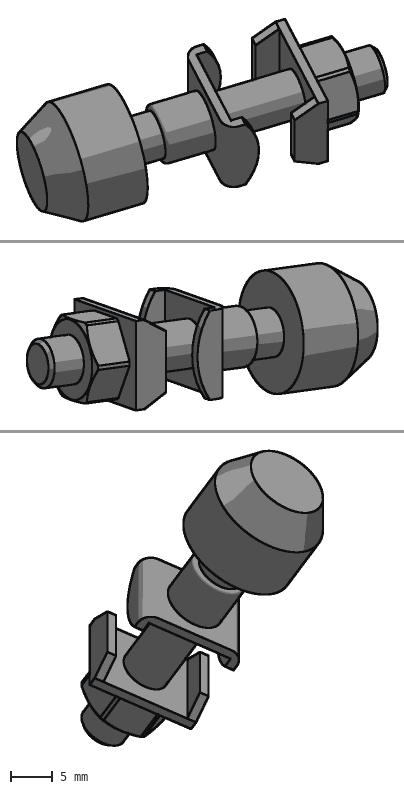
import cadquery as cq
import math


length = 45.0
rod_radius = 3.0
tip_chamfer = 0.55
head_radius = 15.0 / 2
head_face_radius = 5.0
head_taper_angle = 60.0
head_length = 12.0
head_taper_length = (head_radius - head_face_radius) * math.tan(math.radians(head_taper_angle))
collar_radius = 3.75
collar_start = 16.05
collar_end = 22.28
collar_fillet = 0.4

sheet_thickness = 1.2
washer_height = 11.02

curved_width = 13.72
curved_bend_radius = 1.8
curved_depth = 4.35
curved_edge_depth = 2.6

tapered_width = 14.05
tapered_front = 31.2
tapered_back = 35.45
tapered_tip_height = 7.55

nut_across_flats = 10.0
nut_height = 4.85
nut_corner_radius = 5.62
nut_chamfer_length = 0.4
nut_face_radius = 4.9


def cylinder(radius, start, end):
    """Cylinder on the Y axis from start to end."""
    return cq.Workplane("XZ", origin=(0, start, 0)).circle(radius).extrude(start - end)


def make_spindle():
    """Chamfered rod carrying a tapered head and a collar with a rounded front edge."""
    rod = cylinder(rod_radius, 0, length).faces(">Y").chamfer(tip_chamfer)
    head = (
        cq.Workplane("XY")
        .moveTo(0, 0)
        .lineTo(head_face_radius, 0)
        .lineTo(head_radius, head_taper_length)
        .lineTo(head_radius, head_length)
        .lineTo(0, head_length)
        .close()
        .revolve(360, (0, 0, 0), (0, 1, 0))
    )
    collar = cylinder(collar_radius, collar_start, collar_end).faces("<Y").edges().fillet(collar_fillet)
    return rod.union(head).union(collar)


def make_block(width, front, back):
    """Full-height block between front and back, centred on the Y axis."""
    return cq.Workplane("XY").box(width, back - front, washer_height).translate((0, (front + back) / 2, 0))


def make_curved_washer():
    """Channel with rounded outer bends and legs ending in an arc."""
    back = collar_end + curved_depth
    edge = collar_end + curved_edge_depth
    half_height = washer_height / 2
    bent_block = make_block(curved_width, collar_end, back).edges("<Y and |Z").fillet(curved_bend_radius)
    side_profile = (
        cq.Workplane("YZ")
        .moveTo(collar_end, -half_height)
        .lineTo(edge, -half_height)
        .threePointArc((back, 0), (edge, half_height))
        .lineTo(collar_end, half_height)
        .close()
        .extrude(curved_width / 2, both=True)
    )
    inside = make_block(curved_width - 2 * sheet_thickness, collar_end + sheet_thickness, back)
    bore = cylinder(rod_radius, collar_end, back)
    return bent_block.intersect(side_profile).cut(inside).cut(bore)


def make_tapered_washer():
    """Square-cornered channel whose legs narrow towards their free ends."""
    plate_front = tapered_back - sheet_thickness
    half_height = washer_height / 2
    half_tip = tapered_tip_height / 2
    body = (
        cq.Workplane("YZ")
        .polyline([
            (tapered_back, -half_height),
            (tapered_back, half_height),
            (plate_front, half_height),
            (tapered_front, half_tip),
            (tapered_front, -half_tip),
            (plate_front, -half_height),
        ])
        .close()
        .extrude(tapered_width / 2, both=True)
    )
    inside = make_block(tapered_width - 2 * sheet_thickness, tapered_front, plate_front)
    return body.cut(inside).cut(cylinder(rod_radius, tapered_front, tapered_back))


def make_nut():
    """Hexagon with corners on the X axis, trimmed by a cylinder and a cone at its outer end."""
    start = tapered_back
    end = start + nut_height
    across_corners = nut_across_flats / math.cos(math.radians(30))
    hexagon = cq.Workplane("XZ", origin=(0, start, 0)).polygon(6, across_corners).extrude(-nut_height)
    envelope = (
        cq.Workplane("XY")
        .moveTo(0, start)
        .lineTo(nut_corner_radius, start)
        .lineTo(nut_corner_radius, end - nut_chamfer_length)
        .lineTo(nut_face_radius, end)
        .lineTo(0, end)
        .close()
        .revolve(360, (0, 0, 0), (0, 1, 0))
    )
    return hexagon.intersect(envelope).cut(cylinder(rod_radius, start, end))


spindle = make_spindle()
curved_washer = make_curved_washer()
tapered_washer = make_tapered_washer()
nut = make_nut()

result = cq.Compound.makeCompound([
    spindle.val(),
    curved_washer.val(),
    tapered_washer.val(),
    nut.val(),
])